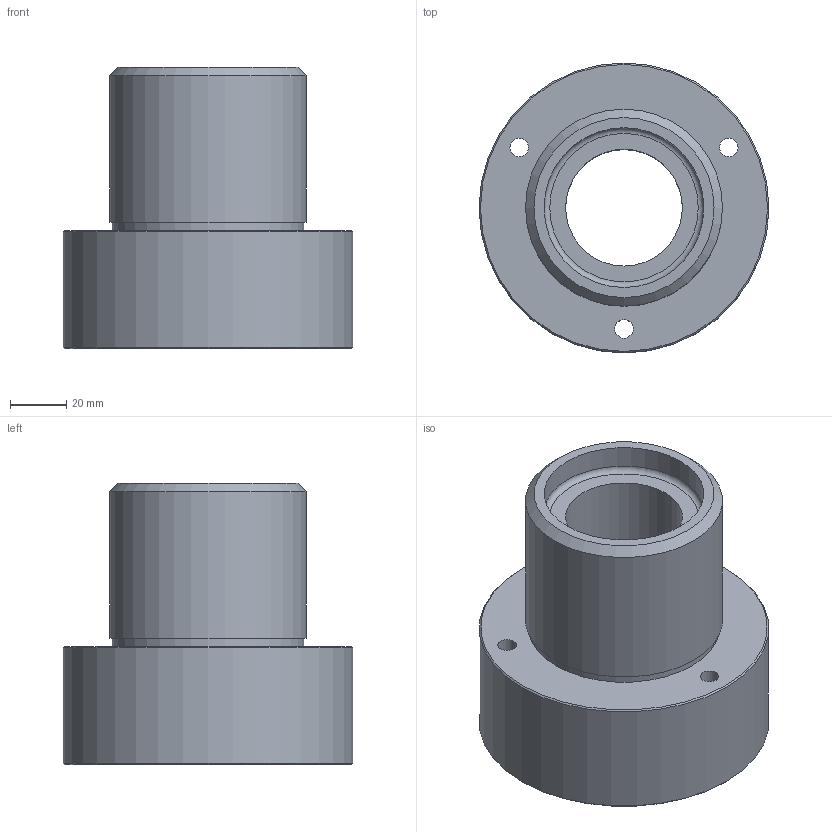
import cadquery as cq

flange_radius = 51.5
flange_height = 42.0
flange_chamfer = 0.5

total_height = 100.0
sleeve_radius = 35.0
sleeve_chamfer = 3.0
relief_radius = 34.0
relief_height = 3.0

bore_radius = 20.75
counterbore_radius = 28.4
counterbore_depth = 10.0
counterbore_fillet = 2.0

hole_count = 3
hole_diameter = 6.6
hole_circle_radius = 43.0
first_hole_angle = -90.0


def make_body():
    """Flange and sleeve revolved in one piece around Z."""
    relief_top = flange_height + relief_height
    outline = (
        cq.Workplane("XZ")
        .moveTo(0, 0)
        .lineTo(flange_radius - flange_chamfer, 0)
        .lineTo(flange_radius, flange_chamfer)
        .lineTo(flange_radius, flange_height - flange_chamfer)
        .lineTo(flange_radius - flange_chamfer, flange_height)
        .lineTo(relief_radius, flange_height)
        .lineTo(relief_radius, relief_top)
        .lineTo(sleeve_radius, relief_top)
        .lineTo(sleeve_radius, total_height - sleeve_chamfer)
        .lineTo(sleeve_radius - sleeve_chamfer, total_height)
        .lineTo(0, total_height)
        .close()
    )
    return outline.revolve(360, (0, 0, 0), (0, 1, 0))


def make_bore():
    """Through bore plus a counterbore with a rounded floor corner."""
    bore = cq.Workplane("XY").circle(bore_radius).extrude(total_height)
    counterbore = (
        cq.Workplane("XY")
        .workplane(offset=total_height - counterbore_depth)
        .circle(counterbore_radius)
        .extrude(counterbore_depth)
        .faces("<Z")
        .edges()
        .fillet(counterbore_fillet)
    )
    return bore.union(counterbore)


def make_mounting_holes():
    """Equally spaced through holes in the flange."""
    return (
        cq.Workplane("XY")
        .polarArray(hole_circle_radius, first_hole_angle, 360, hole_count)
        .circle(hole_diameter / 2)
        .extrude(flange_height)
    )


result = make_body().cut(make_bore()).cut(make_mounting_holes())